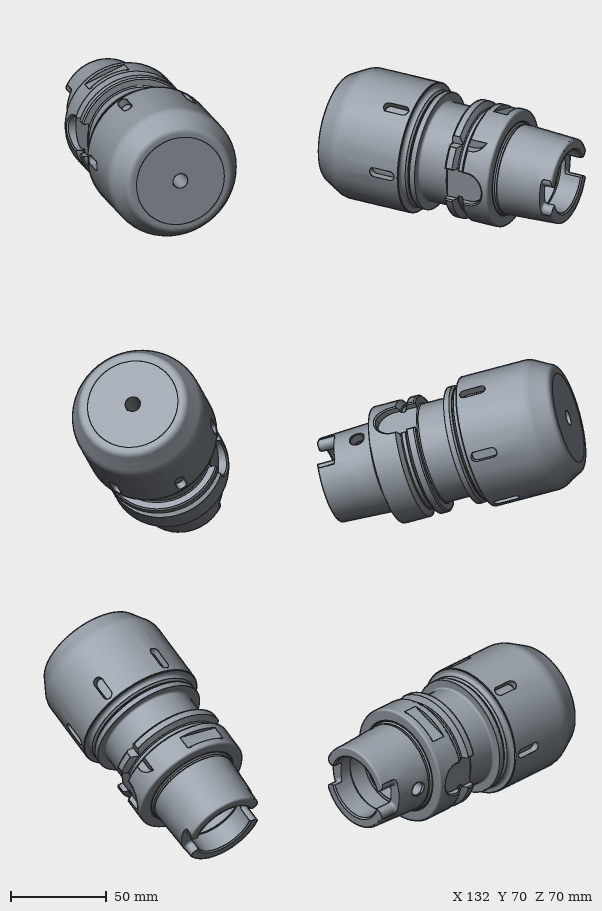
import cadquery as cq
import math


TAPER_TIP_RADIUS = 22.7
TAPER_BASE_RADIUS = 48.2 / 2
TAPER_LENGTH = 30.1
TIP_ROUND = 1.0
RELIEF_DEPTH = 0.4
RELIEF_STEP_RADIUS = 24.5
RELIEF_OUTER_RADIUS = 25.5

FLANGE_RADIUS = 63.0 / 2
FLANGE_START = 32.0
FLANGE_END = 57.5
FLANGE_ROUND = 1.2
FLANGE_BACK_CHAMFER = 0.8
GRIP_CENTRE = 50.0
GRIP_BASE_RADIUS = 27.6
GRIP_BASE_WIDTH = 2.9
GRIP_TOP_WIDTH = 6.5
GRIP_WALL_HEIGHT = 0.7
GRIP_BASE_ROUND = 0.5

NECK_RADIUS = 53.0 / 2
NECK_ROUND = 0.7
COLLAR_ROUND = 1.0
COLLAR_START = 74.2
COLLAR_END = 78.1
COLLAR_CHAMFER = 1.0
NOSE_RADIUS = 48.2 / 2
TOTAL_LENGTH = 132.0

BORE_RADIUS = 34.0 / 2
BORE_CHAMFER = 0.8
CLAMP_SHOULDER = 12.4
CLAMP_RADIUS = 37.0 / 2
CLAMP_END = 23.8
SEAT_RADIUS = 33.0 / 2
SEAT_DEPTH = 29.0
SEAT_ROUND = 0.9
POCKET_RADIUS = 17.0 / 2
POCKET_MOUTH_RADIUS = 19.0 / 2
POCKET_DEPTH = 37.0
COOLANT_RADIUS = 8.0 / 2

DRIVE_HALF_WIDTH = 6.0
DRIVE_FLARE = 3.2
DRIVE_FLOOR_ROUND = 1.5
DRIVE_DEPTH_FRONT = 10.0
DRIVE_DEPTH_BACK = 6.0

ACCESS_X = 23.0
ACCESS_RADIUS = 7.5 / 2
ACCESS_MOUTH_RADIUS = 4.4
ACCESS_MOUTH_DEPTH = 1.3

KEY_HALF_WIDTH = 9.0
KEY_CENTRE = 44.9
KEY_CHAMFER = 0.8
NOTCH_Y = 20.0
NOTCH_Z = 19.8
NOTCH_END_RADIUS = 7.9
FLAT_START = 35.8
FLAT_LENGTH = 7.7
FLAT_DEPTH = 2.2
FLAT_TILT = 21.6

NUT_RADIUS = 70.0 / 2
NUT_START = 78.5
NUT_RIM_RADIUS = FLANGE_RADIUS
NUT_RIM_CHAMFER = 1.0
NUT_COVE_START = 80.4
NUT_COVE_RADIUS = 1.7
NUT_EDGE_CHAMFER = 0.4
NUT_SHOULDER_X = 116.8
NUT_CONE_START = 121.8
NUT_CONE_END = 130.2
NUT_CONE_ANGLE = math.radians(28)
SPANNER_SLOTS = 6
SPANNER_CENTRE_X = 91.5
SPANNER_LENGTH = 14.1
SPANNER_WIDTH = 5.3
SPANNER_DEPTH = 3.8

MARGIN = 6.6
TOLERANCE = 0.01


def revolve_about_x(profile):
    """Turn a closed (x, radius) profile around the X axis."""
    return profile.close().revolve(360, (0, 0, 0), (1, 0, 0))


def make_taper():
    relief_radius = TAPER_BASE_RADIUS - RELIEF_DEPTH
    recess_bottom = FLANGE_START + RELIEF_DEPTH
    outline = (
        cq.Workplane("XY")
        .moveTo(0, 0)
        .lineTo(0, TAPER_TIP_RADIUS - TIP_ROUND)
        .radiusArc((TIP_ROUND, TAPER_TIP_RADIUS), TIP_ROUND)
        .lineTo(TAPER_LENGTH, TAPER_BASE_RADIUS)
        .lineTo(TAPER_LENGTH + RELIEF_DEPTH, relief_radius)
        .lineTo(recess_bottom - 2 * RELIEF_DEPTH, relief_radius)
        .lineTo(recess_bottom, RELIEF_STEP_RADIUS)
        .lineTo(recess_bottom, RELIEF_OUTER_RADIUS - RELIEF_DEPTH)
        .lineTo(FLANGE_START, RELIEF_OUTER_RADIUS)
        .lineTo(FLANGE_START + FLANGE_ROUND, RELIEF_OUTER_RADIUS)
        .lineTo(FLANGE_START + FLANGE_ROUND, 0)
    )
    return revolve_about_x(outline)


def make_flange_blank():
    outline = (
        cq.Workplane("XY")
        .moveTo(FLANGE_START + FLANGE_ROUND, 0)
        .lineTo(FLANGE_START + FLANGE_ROUND, RELIEF_OUTER_RADIUS)
        .lineTo(FLANGE_START, RELIEF_OUTER_RADIUS)
        .lineTo(FLANGE_START, FLANGE_RADIUS - FLANGE_ROUND)
        .radiusArc((FLANGE_START + FLANGE_ROUND, FLANGE_RADIUS), FLANGE_ROUND)
        .lineTo(FLANGE_END, FLANGE_RADIUS)
        .lineTo(FLANGE_END, 0)
    )
    return revolve_about_x(outline)


def make_neck_and_nose():
    neck_end = COLLAR_START - COLLAR_ROUND
    outline = (
        cq.Workplane("XY")
        .moveTo(FLANGE_END, 0)
        .lineTo(FLANGE_END, NECK_RADIUS + NECK_ROUND)
        .radiusArc((FLANGE_END + NECK_ROUND, NECK_RADIUS), -NECK_ROUND)
        .lineTo(neck_end, NECK_RADIUS)
        .radiusArc((COLLAR_START, NECK_RADIUS + COLLAR_ROUND), -COLLAR_ROUND)
        .lineTo(COLLAR_START, FLANGE_RADIUS)
        .lineTo(COLLAR_END - COLLAR_CHAMFER, FLANGE_RADIUS)
        .lineTo(COLLAR_END, FLANGE_RADIUS - COLLAR_CHAMFER)
        .lineTo(COLLAR_END, NOSE_RADIUS)
        .lineTo(TOTAL_LENGTH, NOSE_RADIUS)
        .lineTo(TOTAL_LENGTH, 0)
    )
    return revolve_about_x(outline)


def make_bore_cutter():
    shoulder_run = CLAMP_RADIUS - BORE_RADIUS
    pocket_chamfer = POCKET_MOUTH_RADIUS - POCKET_RADIUS
    outline = (
        cq.Workplane("XY")
        .moveTo(0, 0)
        .lineTo(0, BORE_RADIUS + BORE_CHAMFER)
        .lineTo(BORE_CHAMFER, BORE_RADIUS)
        .lineTo(CLAMP_SHOULDER, BORE_RADIUS)
        .lineTo(CLAMP_SHOULDER + shoulder_run, CLAMP_RADIUS)
        .lineTo(CLAMP_END, CLAMP_RADIUS)
        .lineTo(CLAMP_END, SEAT_RADIUS)
        .lineTo(SEAT_DEPTH - SEAT_ROUND, SEAT_RADIUS)
        .radiusArc((SEAT_DEPTH, SEAT_RADIUS - SEAT_ROUND), SEAT_ROUND)
        .lineTo(SEAT_DEPTH, POCKET_MOUTH_RADIUS)
        .lineTo(SEAT_DEPTH + pocket_chamfer, POCKET_RADIUS)
        .lineTo(POCKET_DEPTH, POCKET_RADIUS)
        .lineTo(POCKET_DEPTH, COOLANT_RADIUS)
        .lineTo(TOTAL_LENGTH, COOLANT_RADIUS)
        .lineTo(TOTAL_LENGTH, 0)
    )
    return revolve_about_x(outline)


def make_drive_slot_cutter(side, depth):
    """Slot open at the tip; its walls flare out tangentially to the taper surface."""
    flare_z = DRIVE_HALF_WIDTH + DRIVE_FLARE
    flare_y = math.sqrt((TAPER_TIP_RADIUS - DRIVE_FLARE) ** 2 - flare_z ** 2)
    tangent_angle = math.atan2(flare_z, flare_y)
    mid_angle = (tangent_angle - math.pi / 2) / 2

    def flare_point(angle):
        return (flare_y + DRIVE_FLARE * math.cos(angle), flare_z + DRIVE_FLARE * math.sin(angle))

    def place(point, mirror):
        return (side * point[0], mirror * point[1])

    wall_end = (flare_y, DRIVE_HALF_WIDTH)
    mid = flare_point(mid_angle)
    tangent = flare_point(tangent_angle)
    outer = (TAPER_TIP_RADIUS + MARGIN, tangent[1])
    cutter = (
        cq.Workplane("YZ")
        .moveTo(0, -DRIVE_HALF_WIDTH)
        .lineTo(*place(wall_end, -1))
        .threePointArc(place(mid, -1), place(tangent, -1))
        .lineTo(*place(outer, -1))
        .lineTo(*place(outer, 1))
        .lineTo(*place(tangent, 1))
        .threePointArc(place(mid, 1), place(wall_end, 1))
        .lineTo(0, DRIVE_HALF_WIDTH)
        .close()
        .extrude(depth)
    )
    rim = cutter.faces(">X").edges()
    side_edges = rim.filter(lambda edge: abs(edge.tangentAt(0.5).z) < 1.3 - TOLERANCE)
    return side_edges.fillet(DRIVE_FLOOR_ROUND)


def make_access_hole_cutter():
    """Round hole from the -Y side of the taper into the bore, countersunk at its mouth."""
    mouth = cq.Solid.makeCone(
        ACCESS_MOUTH_RADIUS,
        ACCESS_RADIUS,
        ACCESS_MOUTH_DEPTH,
        pnt=cq.Vector(ACCESS_X, -TAPER_BASE_RADIUS, 0),
        dir=cq.Vector(0, 1, 0),
    )
    hole = cq.Workplane("XZ", origin=(ACCESS_X, 0, 0)).circle(ACCESS_RADIUS)
    return hole.extrude(TAPER_BASE_RADIUS).union(cq.Workplane(mouth))


def make_key_slot_cutter(side):
    """Slot with one round end, open towards the neck; its floor touches the neck."""
    outline = (
        cq.Workplane("XZ", origin=(0, side * NECK_RADIUS, 0))
        .moveTo(FLANGE_END + MARGIN, KEY_HALF_WIDTH)
        .lineTo(KEY_CENTRE, KEY_HALF_WIDTH)
        .threePointArc((KEY_CENTRE - KEY_HALF_WIDTH, 0), (KEY_CENTRE, -KEY_HALF_WIDTH))
        .lineTo(FLANGE_END + MARGIN, -KEY_HALF_WIDTH)
        .close()
    )
    return outline.extrude(-side * (FLANGE_RADIUS - NECK_RADIUS + MARGIN))


def is_key_slot_rim(edge):
    """True for the edges where a key slot breaks through the flange surface."""
    middle = edge.positionAt(0.5)
    on_surface = abs(math.hypot(middle.y, middle.z) - FLANGE_RADIUS) < TOLERANCE
    within_width = abs(middle.z) < KEY_HALF_WIDTH + TOLERANCE
    behind_slot_end = middle.x > KEY_CENTRE - KEY_HALF_WIDTH - TOLERANCE
    before_back_face = middle.x < FLANGE_END - TOLERANCE
    return on_surface and within_width and behind_slot_end and before_back_face


def make_notch_cutter():
    """Step in the +Y, +Z quarter of the flange with a rounded front end."""
    reach = FLANGE_RADIUS - NOTCH_Y + MARGIN
    centre_z = NOTCH_Z + NOTCH_END_RADIUS
    outline = (
        cq.Workplane("XZ", origin=(0, NOTCH_Y, 0))
        .moveTo(FLANGE_END, NOTCH_Z)
        .lineTo(KEY_CENTRE, NOTCH_Z)
        .radiusArc((KEY_CENTRE - NOTCH_END_RADIUS, centre_z), NOTCH_END_RADIUS)
        .lineTo(FLANGE_END, centre_z)
        .close()
    )
    return outline.extrude(-reach)


def make_flat_cutter():
    width = 2 * FLANGE_RADIUS
    block = cq.Workplane("XY").box(FLAT_LENGTH, width, MARGIN, centered=(False, True, False))
    block = block.translate((FLAT_START, 0, FLANGE_RADIUS - FLAT_DEPTH))
    return block.rotate((0, 0, 0), (1, 0, 0), FLAT_TILT)


def make_grip_groove_cutter():
    base = GRIP_BASE_WIDTH / 2
    top = GRIP_TOP_WIDTH / 2
    flank_radius = GRIP_BASE_RADIUS + GRIP_WALL_HEIGHT
    outline = (
        cq.Workplane("XY")
        .moveTo(GRIP_CENTRE - top, FLANGE_RADIUS)
        .lineTo(GRIP_CENTRE - base, flank_radius)
        .lineTo(GRIP_CENTRE - base, GRIP_BASE_RADIUS + GRIP_BASE_ROUND)
        .radiusArc((GRIP_CENTRE - base + GRIP_BASE_ROUND, GRIP_BASE_RADIUS), -GRIP_BASE_ROUND)
        .lineTo(GRIP_CENTRE + base - GRIP_BASE_ROUND, GRIP_BASE_RADIUS)
        .radiusArc((GRIP_CENTRE + base, GRIP_BASE_RADIUS + GRIP_BASE_ROUND), -GRIP_BASE_ROUND)
        .lineTo(GRIP_CENTRE + base, flank_radius)
        .lineTo(GRIP_CENTRE + top, FLANGE_RADIUS)
        .lineTo(GRIP_CENTRE + top, FLANGE_RADIUS + MARGIN)
        .lineTo(GRIP_CENTRE - top, FLANGE_RADIUS + MARGIN)
    )
    return revolve_about_x(outline)


def make_back_chamfer_cutter():
    outline = (
        cq.Workplane("XY")
        .moveTo(FLANGE_END - FLANGE_BACK_CHAMFER, FLANGE_RADIUS)
        .lineTo(FLANGE_END, FLANGE_RADIUS - FLANGE_BACK_CHAMFER)
        .lineTo(FLANGE_END, FLANGE_RADIUS)
    )
    return revolve_about_x(outline)


def make_flange():
    flange = make_flange_blank()
    for side in (-1, 1):
        flange = flange.cut(make_key_slot_cutter(side))
    flange = flange.edges().filter(is_key_slot_rim).chamfer(KEY_CHAMFER)
    flange = flange.cut(make_grip_groove_cutter())
    flange = flange.cut(make_back_chamfer_cutter())
    flange = flange.cut(make_notch_cutter())
    return flange.cut(make_flat_cutter())


def make_shank():
    shank = make_taper().union(make_flange()).union(make_neck_and_nose())
    shank = shank.cut(make_bore_cutter())
    shank = shank.cut(make_drive_slot_cutter(-1, DRIVE_DEPTH_FRONT))
    shank = shank.cut(make_drive_slot_cutter(1, DRIVE_DEPTH_BACK))
    shank = shank.cut(make_access_hole_cutter())
    return shank


def make_nut_blank():
    shoulder_arc = (NUT_CONE_START - NUT_SHOULDER_X) / math.sin(NUT_CONE_ANGLE)
    cone_top = NUT_RADIUS - shoulder_arc * (1 - math.cos(NUT_CONE_ANGLE))
    cone_tip = cone_top - (NUT_CONE_END - NUT_CONE_START) * math.tan(NUT_CONE_ANGLE)
    nose_arc = (TOTAL_LENGTH - NUT_CONE_END) / (1 - math.sin(NUT_CONE_ANGLE))
    face_radius = cone_tip - nose_arc * math.cos(NUT_CONE_ANGLE)
    rear_face = NUT_COVE_START + NUT_COVE_RADIUS
    outline = (
        cq.Workplane("XY")
        .moveTo(NUT_START, NOSE_RADIUS)
        .lineTo(NUT_START, NUT_RIM_RADIUS - NUT_RIM_CHAMFER)
        .lineTo(NUT_START + NUT_RIM_CHAMFER, NUT_RIM_RADIUS)
        .lineTo(NUT_COVE_START, NUT_RIM_RADIUS)
        .radiusArc((rear_face, NUT_RIM_RADIUS + NUT_COVE_RADIUS), -NUT_COVE_RADIUS)
        .lineTo(rear_face, NUT_RADIUS - NUT_EDGE_CHAMFER)
        .lineTo(rear_face + NUT_EDGE_CHAMFER, NUT_RADIUS)
        .lineTo(NUT_SHOULDER_X, NUT_RADIUS)
        .radiusArc((NUT_CONE_START, cone_top), shoulder_arc)
        .lineTo(NUT_CONE_END, cone_tip)
        .radiusArc((TOTAL_LENGTH, face_radius), nose_arc)
        .lineTo(TOTAL_LENGTH, NOSE_RADIUS)
    )
    return revolve_about_x(outline)


def make_spanner_slot_cutter(angle):
    cutter = (
        cq.Workplane("XZ", origin=(SPANNER_CENTRE_X, -(NUT_RADIUS - SPANNER_DEPTH), 0))
        .slot2D(SPANNER_LENGTH, SPANNER_WIDTH)
        .extrude(SPANNER_DEPTH + MARGIN)
    )
    return cutter.rotate((0, 0, 0), (1, 0, 0), angle)


def make_nut():
    nut = make_nut_blank()
    for index in range(SPANNER_SLOTS):
        nut = nut.cut(make_spanner_slot_cutter(index * 360 / SPANNER_SLOTS))
    return nut


shank = make_shank()
nut = make_nut()
result = cq.Compound.makeCompound([shank.solids().val(), nut.solids().val()])